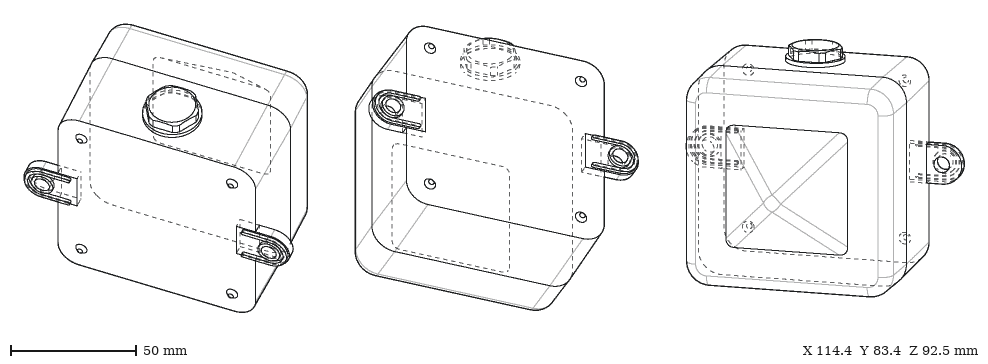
import cadquery as cq
import math

ORIGIN = (0, 0, 0)
Y_AXIS = (0, 1, 0)

BOX_WIDTH = 86.4
CORNER_RADIUS = 9.8
DRAFT_ANGLE = 1.0
BASE_DEPTH = 35.7
LID_DEPTH = 23.0
LID_EDGE_FILLET = 5.0

PYRAMID_SLOPE = 45
PYRAMID_HALF_WIDTH = 25.3
PYRAMID_FILLET = 5.0

LUG_END_RADIUS = 8.0
LUG_TIP_X = 57.2
LUG_INNER_X = 34.3
LUG_THICKNESS = 4.0
LUG_HOLE_RADIUS = 3.2
LUG_HOLE_X = 48.9
PAD_HEIGHT = 1.5
LUG_BOSS_RADIUS = 4.7
RIB_INSET = 0.7
RIB_WIDTH = 1.5
RIB_INNER_X = 37.0
LUG_TURNS = (0, 180)
LUG_CENTER_X = LUG_TIP_X - LUG_END_RADIUS

STUD_SPACING = 65.0
STUD_BASE_RADIUS = 2.4
STUD_TIP_RADIUS = 1.1

PLUG_Y = 16.6
FLANGE_RADIUS = 11.9
FLANGE_THICKNESS = 1.7
HEX_ACROSS_FLATS = 20.0
HEX_CORNER_RADIUS = 10.9
HEAD_HEIGHT = 4.6
HEAD_TOP_RADIUS = 9.4
HEAD_CHAMFER_HEIGHT = 0.7


def drafted_block(depth, direction):
    """Rounded square that starts on the parting plane and narrows along direction * Y."""
    sketch = cq.Sketch().rect(BOX_WIDTH, BOX_WIDTH).vertices().fillet(CORNER_RADIUS)
    plane = cq.Plane(origin=(0, BASE_DEPTH, 0), xDir=(1, 0, 0), normal=(0, direction, 0))
    return cq.Workplane(plane).placeSketch(sketch).extrude(depth, taper=DRAFT_ANGLE)


def mounting_face(height=0.0):
    """Workplane parallel to the mounting face, facing -Y, with local x along X and y along Z."""
    return cq.Workplane("XZ", origin=(0, -height, 0))


def lug_plate():
    """Tongue with a straight inner end and a round tip, flush with the mounting face."""
    return (
        mounting_face()
        .moveTo(LUG_INNER_X, -LUG_END_RADIUS)
        .lineTo(LUG_CENTER_X, -LUG_END_RADIUS)
        .threePointArc((LUG_TIP_X, 0), (LUG_CENTER_X, LUG_END_RADIUS))
        .lineTo(LUG_INNER_X, LUG_END_RADIUS)
        .close()
        .extrude(-LUG_THICKNESS)
    )


def lug_rib():
    """U-shaped rib around the lug tip, with rounded ends on its two legs."""
    outer = LUG_END_RADIUS - RIB_INSET
    inner = outer - RIB_WIDTH
    middle = (outer + inner) / 2
    leg_end_x = RIB_INNER_X + RIB_WIDTH / 2
    return (
        mounting_face()
        .moveTo(leg_end_x, outer)
        .lineTo(LUG_CENTER_X, outer)
        .threePointArc((LUG_CENTER_X + outer, 0), (LUG_CENTER_X, -outer))
        .lineTo(leg_end_x, -outer)
        .threePointArc((RIB_INNER_X, -middle), (leg_end_x, -inner))
        .lineTo(LUG_CENTER_X, -inner)
        .threePointArc((LUG_CENTER_X + inner, 0), (LUG_CENTER_X, inner))
        .lineTo(leg_end_x, inner)
        .threePointArc((RIB_INNER_X, middle), (leg_end_x, outer))
        .close()
        .extrude(PAD_HEIGHT)
    )


def make_lug(turn):
    """Lug on the +X side, turned about Y by the given angle."""
    boss = mounting_face().center(LUG_HOLE_X, 0).circle(LUG_BOSS_RADIUS).extrude(PAD_HEIGHT)
    hole = (
        mounting_face(PAD_HEIGHT)
        .center(LUG_HOLE_X, 0)
        .circle(LUG_HOLE_RADIUS)
        .extrude(-(PAD_HEIGHT + LUG_THICKNESS))
    )
    lug = lug_plate().union(boss).union(lug_rib()).cut(hole)
    return lug.rotate(ORIGIN, Y_AXIS, turn)


def make_base():
    """Lower half of the box, with a recess that holds the inner end of each lug."""
    base = drafted_block(BASE_DEPTH, -1)
    for turn in LUG_TURNS:
        base = base.cut(lug_plate().rotate(ORIGIN, Y_AXIS, turn))
    return base


def make_lid():
    """Upper half of the box, topped by a pyramid with rounded edges and apex."""
    top_y = BASE_DEPTH + LID_DEPTH
    shell = drafted_block(LID_DEPTH, 1).faces(">Y").edges().fillet(LID_EDGE_FILLET)
    plane = cq.Plane(origin=(0, top_y, 0), xDir=(1, 0, 0), normal=(0, 1, 0))
    side = 2 * PYRAMID_HALF_WIDTH
    pyramid = (
        cq.Workplane(plane)
        .rect(side, side)
        .extrude(PYRAMID_HALF_WIDTH, taper=PYRAMID_SLOPE)
        .edges("not #Y")
        .fillet(PYRAMID_FILLET)
    )
    return shell.union(pyramid)


def make_stud(x, z):
    """Truncated cone standing on the mounting face."""
    cone = cq.Solid.makeCone(
        STUD_BASE_RADIUS, STUD_TIP_RADIUS, PAD_HEIGHT, pnt=cq.Vector(x, 0, z), dir=cq.Vector(0, -1, 0)
    )
    return cq.Workplane(cone)


def make_plug():
    """Round flange with a hexagon head whose corners are turned and whose top is chamfered."""
    draft = math.radians(DRAFT_ANGLE)
    wall_z = BOX_WIDTH / 2 - (BASE_DEPTH - PLUG_Y) * math.tan(draft)
    plane = cq.Plane(
        origin=(0, PLUG_Y, wall_z), xDir=(1, 0, 0), normal=(0, -math.sin(draft), math.cos(draft))
    )
    seat = cq.Workplane(plane)
    flange = seat.circle(FLANGE_RADIUS).extrude(FLANGE_THICKNESS)
    head_seat = seat.workplane(offset=FLANGE_THICKNESS)
    hexagon = head_seat.polygon(6, HEX_ACROSS_FLATS / math.cos(math.pi / 6)).extrude(HEAD_HEIGHT)
    envelope = (
        head_seat.circle(HEX_CORNER_RADIUS)
        .extrude(HEAD_HEIGHT)
        .faces(cq.selectors.DirectionMinMaxSelector(plane.zDir))
        .chamfer(HEAD_CHAMFER_HEIGHT, HEX_CORNER_RADIUS - HEAD_TOP_RADIUS)
    )
    return flange.union(hexagon.intersect(envelope))


base = make_base()
lid = make_lid()
plug = make_plug()
lugs = [make_lug(turn) for turn in LUG_TURNS]
stud_offset = STUD_SPACING / 2
studs = [make_stud(x, z) for x in (-stud_offset, stud_offset) for z in (-stud_offset, stud_offset)]

result = cq.Compound.makeCompound(
    [base.val(), lid.val(), plug.val(), *[lug.val() for lug in lugs], *[stud.val() for stud in studs]]
)